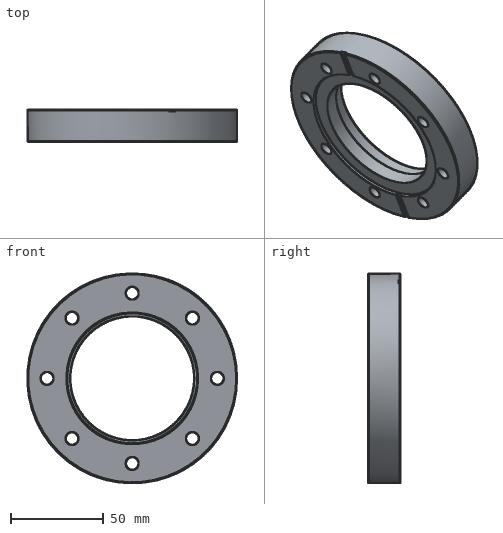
import cadquery as cq

OUTER_DIAMETER = 113.5
THICKNESS = 17.5
EDGE_CHAMFER = 0.5

BORE_DIAMETER = 67.0
FRONT_RECESS_DIAMETER = 70.4
FRONT_RECESS_DEPTH = 7.5
FRONT_RECESS_CHAMFER = 0.5
BACK_RECESS_DIAMETER = 82.5
BACK_RECESS_DEPTH = 2.0

BOLT_COUNT = 8
BOLT_CIRCLE_DIAMETER = 92.2
BOLT_HOLE_DIAMETER = 6.8

GROOVE_WIDTH = 3.2
GROOVE_DEPTH = 1.0
BOLT_PITCH_ANGLE = 360 / BOLT_COUNT
GROOVE_ANGLE = 1.5 * BOLT_PITCH_ANGLE

FRONT_Y = -THICKNESS / 2
BACK_Y = THICKNESS / 2


def cylinder(diameter, start_y, length):
    """Cylinder on the Y axis running from start_y towards +Y."""
    return cq.Workplane("XZ").workplane(offset=-start_y).circle(diameter / 2).extrude(-length)


def make_ring():
    ring = cylinder(OUTER_DIAMETER, FRONT_Y, THICKNESS).edges().chamfer(EDGE_CHAMFER)
    front_recess = cylinder(FRONT_RECESS_DIAMETER, FRONT_Y, FRONT_RECESS_DEPTH)
    back_recess = cylinder(BACK_RECESS_DIAMETER, BACK_Y - BACK_RECESS_DEPTH, BACK_RECESS_DEPTH)
    ring = ring.cut(cylinder(BORE_DIAMETER, FRONT_Y, THICKNESS))
    ring = ring.cut(front_recess).cut(back_recess)
    front_recess_rim = cq.selectors.RadiusNthSelector(-2)
    return ring.faces("<Y").edges(front_recess_rim).chamfer(FRONT_RECESS_CHAMFER)


def make_bolt_holes():
    return (
        cq.Workplane("XZ")
        .workplane(offset=-FRONT_Y)
        .polarArray(BOLT_CIRCLE_DIAMETER / 2, 0, 360, BOLT_COUNT)
        .circle(BOLT_HOLE_DIAMETER / 2)
        .extrude(-THICKNESS)
    )


def make_back_grooves():
    """One bar across the diameter cuts both opposite grooves in the back face."""
    bar = cq.Workplane("XY").box(OUTER_DIAMETER, GROOVE_DEPTH, GROOVE_WIDTH)
    bar = bar.rotate((0, 0, 0), (0, 1, 0), -GROOVE_ANGLE)
    return bar.translate((0, BACK_Y - GROOVE_DEPTH / 2, 0))


result = make_ring().cut(make_bolt_holes()).cut(make_back_grooves())